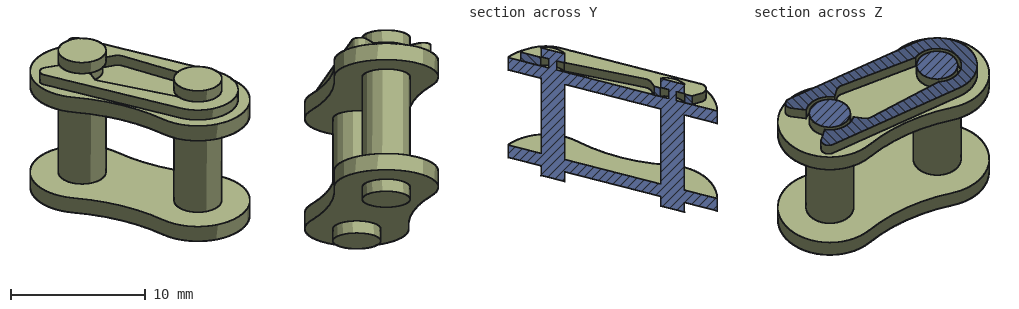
import cadquery as cq
import math

length = 17.28
plate_end_radius = 3.87
pitch = length - 2 * plate_end_radius
half_pitch = pitch / 2
waist_half_width = 3.2
pin_radius = 1.78
neck_radius = 1.54

total_height = 12.7
pin_overhang = 0.95
plate_thickness = 1.28
clip_thickness = 0.85
lower_plate_z = pin_overhang
clip_z = total_height - pin_overhang - clip_thickness
upper_plate_z = clip_z - plate_thickness

clip_half_width = 2.99
clip_bore_radius = pin_radius
clip_tip_radius = 0.57
clip_tip_reach = 2.26
slot_corner = 2.04
slot_corner_radius = 0.69
slot_end_half_width = 1.49

PIN_CENTERS = [(-half_pitch, 0), (half_pitch, 0)]


def make_plate(z):
    """Plate with round ends and a concave waist tangent to them."""
    waist_radius = (half_pitch**2 + waist_half_width**2 - plate_end_radius**2) / (
        2 * (plate_end_radius - waist_half_width)
    )
    waist_center_y = waist_half_width + waist_radius
    end_share = plate_end_radius / (plate_end_radius + waist_radius)
    joint_x = half_pitch * (1 - end_share)
    joint_y = waist_center_y * end_share
    return (
        cq.Workplane("XY", origin=(0, 0, z))
        .moveTo(-joint_x, joint_y)
        .threePointArc((0, waist_half_width), (joint_x, joint_y))
        .threePointArc((length / 2, 0), (joint_x, -joint_y))
        .threePointArc((0, -waist_half_width), (-joint_x, -joint_y))
        .threePointArc((-length / 2, 0), (-joint_x, joint_y))
        .close()
        .extrude(plate_thickness)
    )


def make_cylinders(z, radius, height):
    """One cylinder on each pin axis."""
    return (
        cq.Workplane("XY", origin=(0, 0, z))
        .pushPoints(PIN_CENTERS)
        .circle(radius)
        .extrude(height)
    )


def make_link():
    """Two plates and two pins, with a neck in each pin for the clip."""
    shanks = make_cylinders(0, pin_radius, clip_z)
    necks = make_cylinders(clip_z, neck_radius, clip_thickness)
    heads = make_cylinders(clip_z + clip_thickness, pin_radius, pin_overhang)
    return (
        make_plate(lower_plate_z)
        .union(make_plate(upper_plate_z))
        .union(shanks)
        .union(necks)
        .union(heads)
    )


def make_clip_blank():
    """Outside of the clip: round right end, rounded tips and a V mouth at the left."""
    tip_dx = clip_tip_reach - clip_tip_radius
    tip_y = clip_half_width - clip_tip_radius
    tip_x = -half_pitch - tip_dx
    tip_distance = math.hypot(tip_dx, tip_y)
    mouth_angle = math.atan2(tip_y, tip_dx) - math.asin(clip_tip_radius / tip_distance)
    mouth_length = math.sqrt(tip_distance**2 - clip_tip_radius**2)
    mouth_x = -half_pitch - mouth_length * math.cos(mouth_angle)
    mouth_y = mouth_length * math.sin(mouth_angle)
    tip_left = tip_x - clip_tip_radius
    return (
        cq.Workplane("XY", origin=(0, 0, clip_z))
        .moveTo(-half_pitch, 0)
        .lineTo(mouth_x, mouth_y)
        .threePointArc((tip_left, tip_y), (tip_x, clip_half_width))
        .lineTo(half_pitch, clip_half_width)
        .threePointArc((half_pitch + clip_half_width, 0), (half_pitch, -clip_half_width))
        .lineTo(tip_x, -clip_half_width)
        .threePointArc((tip_left, -tip_y), (mouth_x, -mouth_y))
        .close()
        .extrude(clip_thickness)
    )


def make_clip_slot():
    """Tapered slot between the pins, flaring out from the left pin axis."""
    corner_x = -half_pitch + slot_corner
    return (
        cq.Workplane("XY", origin=(0, 0, clip_z))
        .polyline([
            (-half_pitch, 0),
            (corner_x, slot_corner),
            (half_pitch, slot_end_half_width),
            (half_pitch, -slot_end_half_width),
            (corner_x, -slot_corner),
        ])
        .close()
        .extrude(clip_thickness)
        .edges("|Z and (>Y or <Y)")
        .fillet(slot_corner_radius)
    )


def make_clip():
    """Spring clip that lies on the upper plate, below the pin heads."""
    bores = make_cylinders(clip_z, clip_bore_radius, clip_thickness)
    return make_clip_blank().cut(bores).cut(make_clip_slot())


link = make_link()
clip = make_clip()
result = cq.Compound.makeCompound([link.val(), clip.val()])